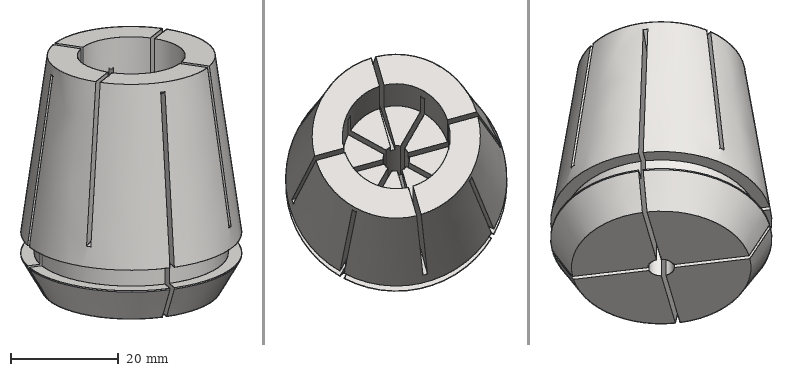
import cadquery as cq
import math

height = 46.0
outer_radius = 20.5
top_radius = 15.6
bottom_radius = 16.65
lip_edge_z = 6.75
lip_top_z = 7.05
groove_top_z = 11.1
groove_radius = 18.05

bore_radius = 10.0
bore_floor_z = 27.6
through_hole_radius = 2.45

slot_width = 0.87
slots_per_end = 4
upper_cutter_radius = 25.0
upper_cutter_offset = 21.9
upper_cutter_z = 39.9
lower_cutter_radius = 30.0
lower_cutter_offset = 30.45
lower_cutter_z = 18.0
clearance = 4.6


def make_body():
    """Turned outside shape with a flared foot, a groove and a long taper."""
    profile = [
        (0, 0),
        (bottom_radius, 0),
        (outer_radius, lip_edge_z),
        (outer_radius, lip_top_z),
        (groove_radius, lip_top_z),
        (groove_radius, groove_top_z),
        (outer_radius, groove_top_z),
        (top_radius, height),
        (0, height),
    ]
    return cq.Workplane("XZ").polyline(profile).close().revolve(360, (0, 0), (0, 1))


def make_bore():
    """Wide bore from the top, with a small hole through its floor."""
    bore_depth = height - bore_floor_z
    bore = cq.Workplane("XY").workplane(offset=bore_floor_z).circle(bore_radius).extrude(bore_depth)
    return bore.union(cq.Workplane("XY").circle(through_hole_radius).extrude(height))


def make_slot(cutter_radius, cutter_offset, cutter_z, open_end_z):
    """Radial slot along +X whose blind end is a round saw-cutter arc.

    The slot starts on the axis, or at the cutter's innermost reach if that lies
    further out, and its sides run straight from the arc to its open end.
    """
    inner_x = max(0, cutter_offset - cutter_radius)
    outer_x = outer_radius + clearance
    direction = math.copysign(1, cutter_z - open_end_z)

    def arc_point(x):
        rise = math.sqrt(cutter_radius**2 - (cutter_offset - x) ** 2)
        return x, cutter_z + direction * rise

    slot = (
        cq.Workplane("XZ")
        .moveTo(inner_x, open_end_z)
        .lineTo(*arc_point(inner_x))
        .threePointArc(arc_point((inner_x + outer_x) / 2), arc_point(outer_x))
        .lineTo(outer_x, open_end_z)
        .close()
    )
    return slot.extrude(slot_width / 2, both=True)


result = make_body().cut(make_bore())

upper_slot = make_slot(upper_cutter_radius, upper_cutter_offset, upper_cutter_z, height + clearance)
lower_slot = make_slot(lower_cutter_radius, lower_cutter_offset, lower_cutter_z, -clearance)
slot_pitch = 360 / slots_per_end
axis_start, axis_end = (0, 0, 0), (0, 0, 1)
for index in range(slots_per_end):
    lower_angle = index * slot_pitch
    upper_angle = lower_angle + slot_pitch / 2
    result = result.cut(lower_slot.rotate(axis_start, axis_end, lower_angle))
    result = result.cut(upper_slot.rotate(axis_start, axis_end, upper_angle))